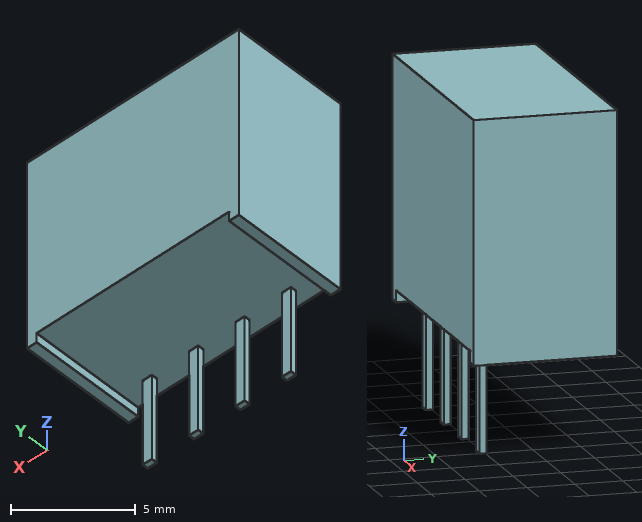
import cadquery as cq

case_width = 11.6
case_depth = 6.0
case_height = 10.16
foot_width = 0.53
foot_height = 0.5

pin_count = 4
pin_pitch = 2.54
pin_width = 0.5
pin_thickness = 0.3
pin_length = 4.1
pin_inset = 0.9

front_y = -case_depth / 2


def make_case():
    """Block standing on Z = 0 with a full-depth notch between its feet."""
    block = cq.Workplane("XY").box(case_width, case_depth, case_height, centered=(True, True, False))
    notch_width = case_width - 2 * foot_width
    notch = cq.Workplane("XY").box(notch_width, case_depth, foot_height, centered=(True, True, False))
    return block.cut(notch)


def make_pins():
    """Row of rectangular pins hanging from the roof of the notch."""
    pin_centres = [((i - (pin_count - 1) / 2) * pin_pitch, front_y + pin_inset) for i in range(pin_count)]
    return (
        cq.Workplane("XY", origin=(0, 0, -pin_length))
        .pushPoints(pin_centres)
        .rect(pin_width, pin_thickness)
        .extrude(pin_length + foot_height)
    )


result = make_case().union(make_pins())